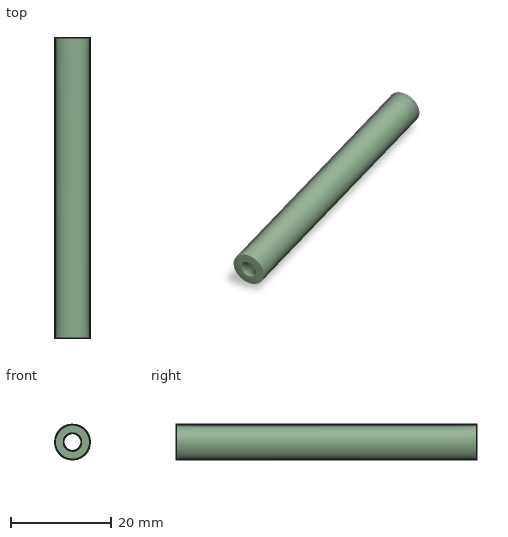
import cadquery as cq

length = 60.0
outer_diameter = 7.0
bore_diameter = 3.5

result = (
    cq.Workplane("XZ", origin=(0, length / 2, 0))
    .circle(outer_diameter / 2)
    .circle(bore_diameter / 2)
    .extrude(length)
)